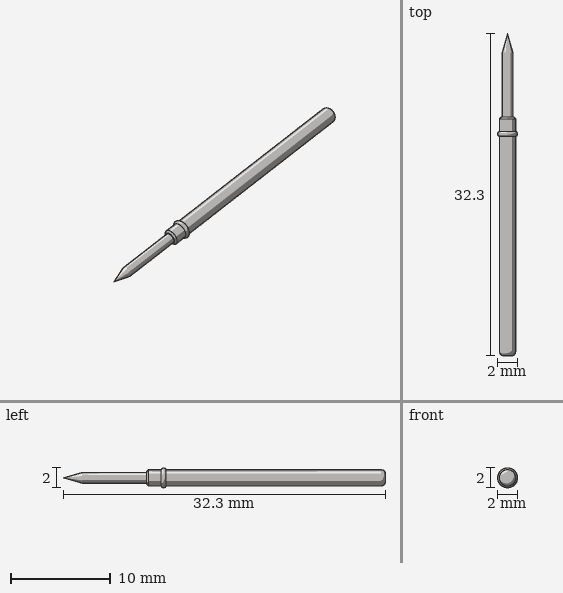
import cadquery as cq

length = 32.3
rear_y = -length / 2
tip_y = length / 2

tip_length = 1.9
plunger_radius = 0.55

barrel_radius = 0.825
barrel_length = 23.97
mouth_chamfer = 0.2
rear_fillet = 0.45

ring_radius = 1.0
bead_radius = 0.25
ring_from_tip = 10.05


def make_barrel():
    """Barrel with a rounded rear end and a chamfered mouth."""
    barrel = (
        cq.Workplane("XZ", origin=(0, rear_y, 0))
        .circle(barrel_radius)
        .extrude(-barrel_length)
    )
    return barrel.edges("<Y").fillet(rear_fillet).edges(">Y").chamfer(mouth_chamfer)


def make_press_ring():
    """Round bead whose inner part is buried in the barrel."""
    bead_circle_radius = ring_radius - bead_radius
    ring = cq.Solid.makeTorus(
        bead_circle_radius,
        bead_radius,
        cq.Vector(0, tip_y - ring_from_tip, 0),
        cq.Vector(0, 1, 0),
    )
    return cq.Workplane(obj=ring)


def make_plunger():
    """Solid plunger with a sharp conical tip, starting inside the barrel."""
    inner_end_y = tip_y - ring_from_tip
    profile = cq.Workplane("XY").polyline(
        [
            (0, inner_end_y),
            (plunger_radius, inner_end_y),
            (plunger_radius, tip_y - tip_length),
            (0, tip_y),
        ]
    )
    return profile.close().revolve(360, (0, 0, 0), (0, 1, 0))


result = make_barrel().union(make_press_ring()).union(make_plunger())